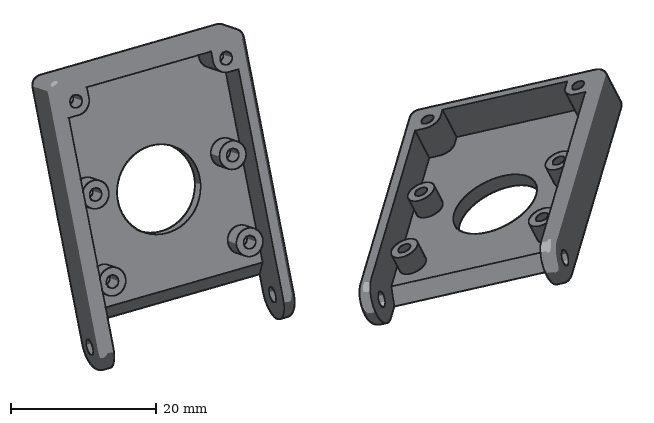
import cadquery as cq

tilt = 25.0
width = 30.0
depth = 7.0
length = 38.42
wall = 2.0
end_radius = depth / 2
corner_radius = 1.5
edge_radius = 1.0

floor_outside = -depth / 2
floor_inside = floor_outside + wall
floor_start = 2.45
inner_width = width - 2 * wall
inner_end = length - wall

pivot_diameter = 2.2
pivot_offset = -0.15
window_diameter = 12.5
window_height = 18.45

post_diameter = 4.0
post_length = 3.0
post_spread = 21.0
post_heights = (8.45, 20.95)
screw_diameter = 1.8

pad_size = 3.48
pad_radius = 1.97
pad_hole_inset = pad_size - pad_radius
pad_hole_depth = post_length


def rod(diameter, start_x, y, z, rod_length):
    """Cylinder running along +X."""
    plane = cq.Plane(origin=(start_x, y, z), xDir=(0, 1, 0), normal=(1, 0, 0))
    return cq.Workplane(plane).circle(diameter / 2).extrude(rod_length)


def outer_body():
    """Solid envelope with a round hinge end and softened outer edges."""
    block = (
        cq.Workplane("XY")
        .box(depth, width, length, centered=(True, True, False))
        .edges("|X and >Z")
        .fillet(corner_radius)
    )
    hinge_end = cq.Workplane("XZ").circle(end_radius).extrude(width / 2, both=True)
    body = block.union(hinge_end)
    return body.faces("<X or >X").edges().fillet(edge_radius)


def cavity():
    """Interior space, continuing through the hinge end with a 45 degree floor edge."""
    below = -depth
    outside = floor_outside - wall
    above = depth
    return (
        cq.Workplane("XZ")
        .moveTo(above, below)
        .lineTo(outside, below)
        .lineTo(outside, floor_start - wall)
        .lineTo(floor_inside, floor_start + wall)
        .lineTo(floor_inside, inner_end)
        .lineTo(above, inner_end)
        .close()
        .extrude(inner_width / 2, both=True)
    )


def corner_pad(side):
    """Screw pad filling one inner corner at the closed end, flush with the rim."""
    pad = (
        cq.Workplane("XY")
        .box(depth - wall, pad_size, pad_size, centered=False)
        .edges("|X and <Y and <Z")
        .fillet(pad_radius)
        .translate((floor_inside, inner_width / 2 - pad_size, inner_end - pad_size))
    )
    hole = rod(
        screw_diameter,
        depth / 2 - pad_hole_depth,
        inner_width / 2 - pad_hole_inset,
        inner_end - pad_hole_inset,
        pad_hole_depth,
    )
    pad = pad.cut(hole)
    return pad if side > 0 else pad.mirror("XZ")


def post(y, z):
    """Hollow screw post standing on the floor."""
    outer = rod(post_diameter, floor_inside, y, z, post_length)
    return outer.cut(rod(screw_diameter, floor_inside, y, z, post_length))


cover = outer_body().cut(cavity())
for side in (-1, 1):
    cover = cover.union(corner_pad(side))
    for height in post_heights:
        cover = cover.union(post(side * post_spread / 2, height))

window = rod(window_diameter, floor_outside, 0, window_height, wall)
pivot = (
    cq.Workplane("XZ")
    .center(pivot_offset, 0)
    .circle(pivot_diameter / 2)
    .extrude(width / 2, both=True)
)
cover = cover.cut(window).cut(pivot)

result = cover.rotate((0, 0, 0), (0, 1, 0), -tilt)